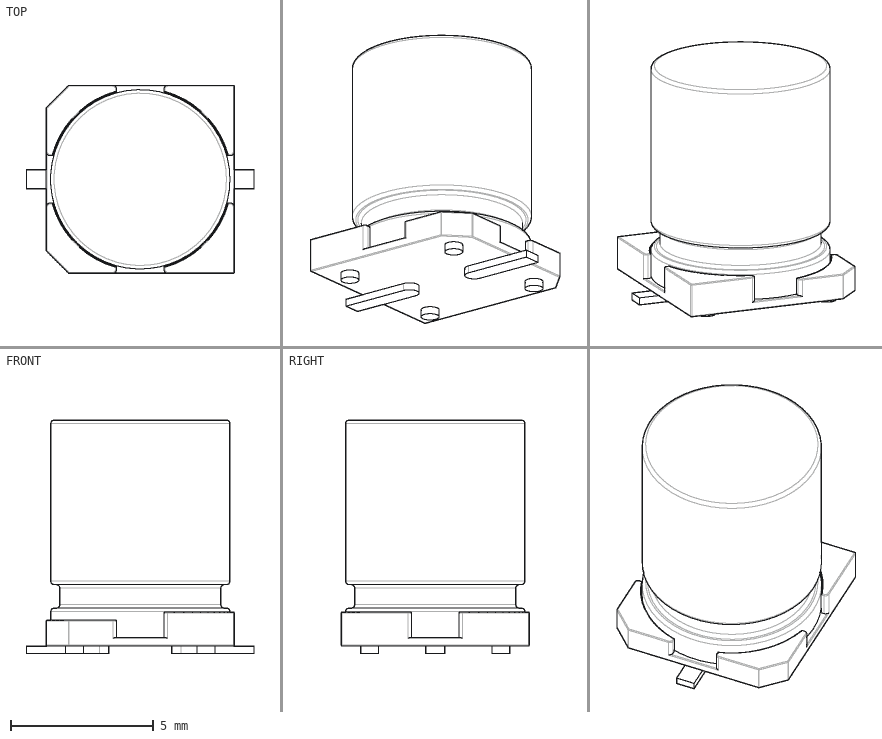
import cadquery as cq
import math

total_height = 8.2
lead_span = 8.0

can_radius = 6.3 / 2
neck_radius = 5.67 / 2
groove_bottom = 1.6
groove_top = 2.42
can_round = 0.12

base_width = 6.6
base_corner_cut = 0.79
base_bottom = 0.26
floor_level = 0.565
low_post_top = 1.17
high_post_top = 1.46
notch_width = 1.67
notch_round = 0.12
edge_round = 0.03
seat_clearance = 0.025

pick_margin = 0.01

lead_width = 0.67
lead_inner_end = 1.1
foot_diameter = 0.63
foot_offset = 2.305


def make_can():
    """Revolve the can, rounding the rims and the corners of its groove."""
    rim_radius = can_radius - can_round
    throat_radius = neck_radius + can_round
    diagonal = can_round * math.sqrt(0.5)

    def corner(sketch, centre, side, end):
        """Add a quarter arc about a centre, passing on the given diagonal side of it."""
        middle = (centre[0] + side[0] * diagonal, centre[1] + side[1] * diagonal)
        return sketch.threePointArc(middle, end)

    lower_rim = groove_bottom - can_round
    neck_start = groove_bottom + can_round
    neck_end = groove_top - can_round
    upper_rim = groove_top + can_round
    shoulder = total_height - can_round

    half = cq.Workplane("XZ").moveTo(0, floor_level).lineTo(can_radius, floor_level)
    half = half.lineTo(can_radius, lower_rim)
    half = corner(half, (rim_radius, lower_rim), (1, 1), (rim_radius, groove_bottom))
    half = half.lineTo(throat_radius, groove_bottom)
    half = corner(half, (throat_radius, neck_start), (-1, -1), (neck_radius, neck_start))
    half = half.lineTo(neck_radius, neck_end)
    half = corner(half, (throat_radius, neck_end), (-1, 1), (throat_radius, groove_top))
    half = half.lineTo(rim_radius, groove_top)
    half = corner(half, (rim_radius, upper_rim), (1, -1), (can_radius, upper_rim))
    half = half.lineTo(can_radius, shoulder)
    half = corner(half, (rim_radius, shoulder), (1, 1), (rim_radius, total_height))
    half = half.lineTo(0, total_height).close()
    return half.revolve(360, (0, 0, 0), (0, 1, 0))


def box_above(level, x_size, y_size, x_centre=0.0):
    """Box standing on the given level, tall enough to clear the base."""
    return (
        cq.Workplane("XY", origin=(x_centre, 0, level))
        .rect(x_size, y_size)
        .extrude(total_height)
    )


def edges_at_level(level):
    """Selector for the base edges that lie flat at the given height."""
    reach = base_width
    return cq.selectors.BoxSelector(
        (-reach, -reach, level - pick_margin),
        (reach, reach, level + pick_margin),
    )


def upright_edge_near(x, y):
    """Selector for the base edge standing on the floor at the given place."""
    return cq.selectors.BoxSelector(
        (x - pick_margin, y - pick_margin, floor_level),
        (x + pick_margin, y + pick_margin, high_post_top),
    )


def make_base():
    """Square base with four corner posts around the can, the -X pair lower and chamfered."""
    half_base = base_width / 2
    half_notch = notch_width / 2

    base = (
        cq.Workplane("XY", origin=(0, 0, base_bottom))
        .rect(base_width, base_width)
        .extrude(high_post_top - base_bottom)
    )
    base = base.edges("|Z and <X").chamfer(base_corner_cut)
    base = base.edges("|Z").fillet(edge_round)

    base = base.cut(box_above(low_post_top, half_base, base_width, -half_base / 2))
    seat_radius = can_radius + seat_clearance
    seat = cq.Workplane("XY", origin=(0, 0, floor_level)).circle(seat_radius).extrude(total_height)
    base = base.cut(seat)
    base = base.cut(box_above(floor_level, notch_width, base_width))
    base = base.cut(box_above(floor_level, base_width, notch_width))

    for x_sign in (-1, 1):
        for y_sign in (-1, 1):
            for x, y in ((half_base, half_notch), (half_notch, half_base)):
                corner = upright_edge_near(x_sign * x, y_sign * y)
                base = base.edges(corner).fillet(notch_round)

    for level in (high_post_top, low_post_top, base_bottom):
        base = base.edges(edges_at_level(level)).fillet(edge_round)
    for side in (">X", "<X", ">Y", "<Y"):
        base = base.edges(edges_at_level(floor_level)).edges(side).fillet(edge_round)
    return base


def make_lead(side):
    """Flat lead leaving the base at one X side, with a round inner end."""
    end_radius = lead_width / 2
    outer = lead_span / 2
    straight = lead_inner_end + end_radius
    return (
        cq.Workplane("XY")
        .moveTo(side * outer, -end_radius)
        .lineTo(side * straight, -end_radius)
        .threePointArc((side * lead_inner_end, 0), (side * straight, end_radius))
        .lineTo(side * outer, end_radius)
        .close()
        .extrude(base_bottom)
    )


def make_feet():
    """Four round feet under the corners of the base."""
    return (
        cq.Workplane("XY")
        .rect(2 * foot_offset, 2 * foot_offset, forConstruction=True)
        .vertices()
        .circle(foot_diameter / 2)
        .extrude(base_bottom)
    )


result = make_base().union(make_can()).union(make_feet())
for lead_side in (-1, 1):
    result = result.union(make_lead(lead_side))